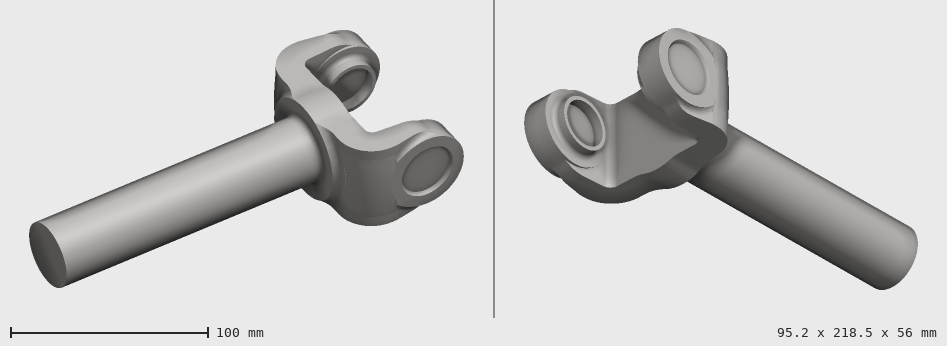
import cadquery as cq
import math


TOTAL_LENGTH = 218.5
SHAFT_RADIUS = 18.0
SHAFT_FILLET = 2.5

EAR_RADIUS = 21.6
EAR_OUTER_X = 47.6
EAR_INNER_X = 32.5
EAR_FILLET = 3.3
RECESS_RADIUS = 15.3
RECESS_FLOOR_RADIUS = 14.0
RECESS_DEPTH = 2.0

BOSS_RADIUS = 15.0
BOSS_INNER_X = 25.8
BOSS_FILLET = 2.6
BORE_RADIUS = 12.9
BORE_DEPTH = 6.1

FORK_HALF_HEIGHT = 25.3
BRIDGE_INNER_Y = -25.3
BRIDGE_OUTER_Y = -40.5
BEND_OUTER_X = 46.7
BEND_RADIUS = 19.5
INNER_BEND_RADIUS = 4.8
TAPER_START_Y = -18.1
OUTER_TAPER = 9.8
INNER_TAPER = 3.8
ARM_ROUND_START_Y = -7.0
ARM_ROUND_RADIUS = 19.2
ARM_BLEND_RADIUS = 19.2

BULGE_HALF_HEIGHT = 19.2
BULGE_RISE = EAR_OUTER_X - BEND_OUTER_X

HUB_RADIUS = 28.0
HUB_FACE_Y = -44.3
HUB_BLEND_RADIUS = 24.0
HUB_FLARE_RADIUS = 6.1

SHAFT_END_Y = EAR_RADIUS - TOTAL_LENGTH
BEND_CENTER_X = BEND_OUTER_X - BEND_RADIUS
BEND_CENTER_Y = BRIDGE_OUTER_Y + BEND_RADIUS

CLEARANCE = 11.0
SKIN_DEPTH = 2.2


def cylinder_along_x(radius, x_start, x_end):
    return cq.Workplane("YZ").workplane(offset=x_start).circle(radius).extrude(x_end - x_start)


def tapered_face_x(y):
    """Place of the sloping outer face of the arm at a given Y."""
    return BEND_OUTER_X - (y - TAPER_START_Y) * math.tan(math.radians(OUTER_TAPER))


def arm_and_half_bridge():
    """Bent bar on the +X side, with its arm running on past the ear."""
    tip_y = EAR_RADIUS + CLEARANCE
    inner_corner_y = BRIDGE_INNER_Y + INNER_BEND_RADIUS
    inner_tip_x = EAR_INNER_X + (tip_y - inner_corner_y) * math.tan(math.radians(INNER_TAPER))
    return (
        cq.Workplane("XY")
        .workplane(offset=-FORK_HALF_HEIGHT)
        .moveTo(0, BRIDGE_OUTER_Y)
        .lineTo(BEND_CENTER_X, BRIDGE_OUTER_Y)
        .radiusArc((BEND_OUTER_X, BEND_CENTER_Y), -BEND_RADIUS)
        .lineTo(BEND_OUTER_X, TAPER_START_Y)
        .lineTo(tapered_face_x(tip_y), tip_y)
        .lineTo(inner_tip_x, tip_y)
        .lineTo(EAR_INNER_X, inner_corner_y)
        .radiusArc((EAR_INNER_X - INNER_BEND_RADIUS, BRIDGE_INNER_Y), INNER_BEND_RADIUS)
        .lineTo(0, BRIDGE_INNER_Y)
        .close()
        .extrude(2 * FORK_HALF_HEIGHT)
    )


def arm_side_limit():
    """Side shape of an arm: flat, then rounded over and blended into the ear circle."""
    round_y = ARM_ROUND_START_Y
    round_z = FORK_HALF_HEIGHT - ARM_ROUND_RADIUS
    to_round = ARM_ROUND_RADIUS + ARM_BLEND_RADIUS
    to_ear = EAR_RADIUS + ARM_BLEND_RADIUS
    span = math.hypot(round_y, round_z)
    along = (to_ear**2 - to_round**2 + span**2) / (2 * span)
    across = math.sqrt(to_ear**2 - along**2)
    blend_y = (along * round_y + across * round_z) / span
    blend_z = (along * round_z - across * round_y) / span

    on_round = ARM_ROUND_RADIUS / to_round
    round_end_y = round_y + (blend_y - round_y) * on_round
    round_end_z = round_z + (blend_z - round_z) * on_round
    ear_touch_y = blend_y * EAR_RADIUS / to_ear
    ear_touch_z = blend_z * EAR_RADIUS / to_ear
    back_y = BRIDGE_OUTER_Y - CLEARANCE
    return (
        cq.Workplane("YZ")
        .moveTo(back_y, -FORK_HALF_HEIGHT)
        .lineTo(back_y, FORK_HALF_HEIGHT)
        .lineTo(round_y, FORK_HALF_HEIGHT)
        .radiusArc((round_end_y, round_end_z), ARM_ROUND_RADIUS)
        .radiusArc((ear_touch_y, ear_touch_z), -ARM_BLEND_RADIUS)
        .lineTo(ear_touch_y, -ear_touch_z)
        .radiusArc((round_end_y, -round_end_z), -ARM_BLEND_RADIUS)
        .radiusArc((round_y, -FORK_HALF_HEIGHT), ARM_ROUND_RADIUS)
        .close()
        .extrude(EAR_OUTER_X)
    )


def bulge_section():
    """Cross-section of the bulge, placed where the bend meets the arm."""
    core_radius = BEND_RADIUS - BULGE_RISE
    return (
        cq.Workplane("XZ", origin=(BEND_CENTER_X, BEND_CENTER_Y, 0))
        .moveTo(core_radius, -BULGE_HALF_HEIGHT)
        .lineTo(BEND_RADIUS, -BULGE_HALF_HEIGHT)
        .threePointArc((BEND_RADIUS + BULGE_RISE, 0), (BEND_RADIUS, BULGE_HALF_HEIGHT))
        .lineTo(core_radius, BULGE_HALF_HEIGHT)
        .close()
    )


def bend_bulge():
    """Barrel-shaped swelling swept round the outside of the bend and run on to the taper."""
    swept = bulge_section().revolve(90, (0, 0), (0, -1))
    straight = bulge_section().extrude(BEND_CENTER_Y - TAPER_START_Y)
    return swept.union(straight)


def ear_root():
    """Tapered outer face of the arm with a fillet where the round ear stands out of it."""
    tip_y = EAR_RADIUS + CLEARANCE
    tip_x = tapered_face_x(tip_y)
    base_x = tip_x - SKIN_DEPTH
    wedge = (
        cq.Workplane("XY")
        .workplane(offset=-tip_y)
        .polyline([(base_x, -tip_y), (tapered_face_x(-tip_y), -tip_y), (tip_x, tip_y), (base_x, tip_y)])
        .close()
        .extrude(2 * tip_y)
    )
    long_ear = cylinder_along_x(EAR_RADIUS, base_x, EAR_OUTER_X + CLEARANCE)
    reach = EAR_RADIUS + CLEARANCE / 2
    around_ear = cq.selectors.BoxSelector(
        (tip_x, -reach, -reach), (tapered_face_x(-reach), reach, reach), boundingbox=True
    )
    taper_part = (
        cq.Workplane("XY")
        .box(EAR_OUTER_X, tip_y - TAPER_START_Y, 2 * FORK_HALF_HEIGHT, centered=(False, False, True))
        .translate((0, TAPER_START_Y, 0))
    )
    return wedge.union(long_ear).edges(around_ear).fillet(EAR_FILLET).intersect(taper_part)


def ear_boss():
    """Boss on the inner face of the ear, with a fillet at its root."""
    root_radius = BOSS_RADIUS + BOSS_FILLET
    return (
        cq.Workplane("XY")
        .moveTo(BOSS_INNER_X, 0)
        .lineTo(BOSS_INNER_X, BOSS_RADIUS)
        .lineTo(EAR_INNER_X - BOSS_FILLET, BOSS_RADIUS)
        .radiusArc((EAR_INNER_X, root_radius), -BOSS_FILLET)
        .lineTo(EAR_OUTER_X, root_radius)
        .lineTo(EAR_OUTER_X, 0)
        .close()
        .revolve(360, (0, 0), (1, 0))
    )


def fork_half():
    """Arm, ear, boss and bridge on the +X side."""
    arm = arm_and_half_bridge().union(ear_root()).intersect(arm_side_limit())
    half = arm.union(bend_bulge())
    half = half.union(cylinder_along_x(EAR_RADIUS, EAR_INNER_X, EAR_OUTER_X)).union(ear_boss())

    recess = (
        cq.Workplane("YZ")
        .workplane(offset=EAR_OUTER_X - RECESS_DEPTH)
        .circle(RECESS_FLOOR_RADIUS)
        .workplane(offset=RECESS_DEPTH)
        .circle(RECESS_RADIUS)
        .loft(ruled=True)
    )
    bore = cylinder_along_x(BORE_RADIUS, BOSS_INNER_X, BOSS_INNER_X + BORE_DEPTH)
    return half.cut(recess).cut(bore)


def hub_outline_prism():
    """Bridge height with the hub circle swelling out of it through tangent blends."""
    reach = HUB_RADIUS + HUB_BLEND_RADIUS
    foot_x = math.sqrt(reach**2 - (FORK_HALF_HEIGHT + HUB_BLEND_RADIUS) ** 2)
    touch_x = foot_x * HUB_RADIUS / reach
    touch_z = (FORK_HALF_HEIGHT + HUB_BLEND_RADIUS) * HUB_RADIUS / reach
    side_x = BEND_CENTER_X + CLEARANCE
    return (
        cq.Workplane("XZ", origin=(0, BRIDGE_INNER_Y, 0))
        .moveTo(-side_x, FORK_HALF_HEIGHT)
        .lineTo(-foot_x, FORK_HALF_HEIGHT)
        .radiusArc((-touch_x, touch_z), -HUB_BLEND_RADIUS)
        .threePointArc((0, HUB_RADIUS), (touch_x, touch_z))
        .radiusArc((foot_x, FORK_HALF_HEIGHT), -HUB_BLEND_RADIUS)
        .lineTo(side_x, FORK_HALF_HEIGHT)
        .lineTo(side_x, -FORK_HALF_HEIGHT)
        .lineTo(foot_x, -FORK_HALF_HEIGHT)
        .radiusArc((touch_x, -touch_z), -HUB_BLEND_RADIUS)
        .threePointArc((0, -HUB_RADIUS), (-touch_x, -touch_z))
        .radiusArc((-foot_x, -FORK_HALF_HEIGHT), -HUB_BLEND_RADIUS)
        .lineTo(-side_x, -FORK_HALF_HEIGHT)
        .close()
        .extrude(BRIDGE_INNER_Y - HUB_FACE_Y)
    )


def hub():
    """Hub disc whose rim flares in a concave fillet onto the bridge."""
    flare_end_radius = HUB_RADIUS + HUB_FLARE_RADIUS
    flared_disc = (
        cq.Workplane("XY")
        .moveTo(0, HUB_FACE_Y)
        .lineTo(HUB_RADIUS, HUB_FACE_Y)
        .radiusArc((flare_end_radius, BRIDGE_OUTER_Y), HUB_FLARE_RADIUS)
        .lineTo(flare_end_radius, BRIDGE_INNER_Y)
        .lineTo(0, BRIDGE_INNER_Y)
        .close()
        .revolve(360, (0, 0), (0, 1))
    )
    return flared_disc.intersect(hub_outline_prism())


def shaft():
    """Plain round shaft with a fillet where it leaves the hub face."""
    root_radius = SHAFT_RADIUS + SHAFT_FILLET
    return (
        cq.Workplane("XY")
        .moveTo(0, BRIDGE_OUTER_Y)
        .lineTo(root_radius, BRIDGE_OUTER_Y)
        .lineTo(root_radius, HUB_FACE_Y)
        .radiusArc((SHAFT_RADIUS, HUB_FACE_Y - SHAFT_FILLET), -SHAFT_FILLET)
        .lineTo(SHAFT_RADIUS, SHAFT_END_Y)
        .lineTo(0, SHAFT_END_Y)
        .close()
        .revolve(360, (0, 0), (0, 1))
    )


right_half = fork_half()
left_half = right_half.mirror("YZ")
result = right_half.union(left_half).union(hub()).union(shaft())